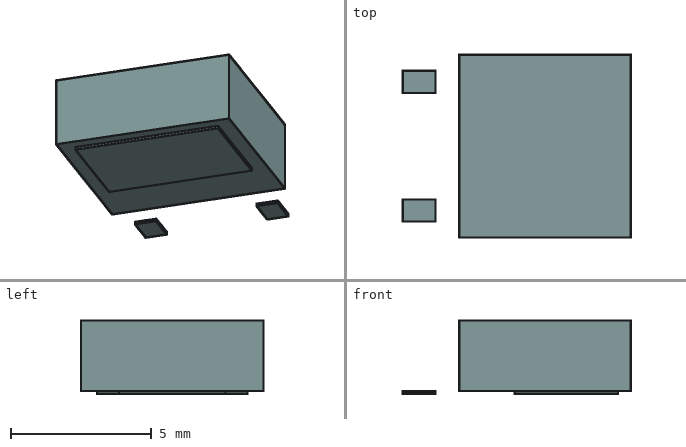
import cadquery as cq

overall_length = 8.1
overall_width = 6.5
overall_height = 2.62

contact_thickness = 0.1
lead_length = 1.17
lead_width = 0.79
lead_pitch = 4.57

housing_length = 6.1
housing_height = overall_height - contact_thickness

tab_length = 3.68
tab_width = lead_pitch + lead_width
tab_end_inset = 0.445


def block(x_start, y_center, z_start, length, width, height):
    """Rectangular block starting at x_start and z_start, centred on y_center."""
    return (
        cq.Workplane("XY")
        .box(length, width, height, centered=(False, True, False))
        .translate((x_start, y_center, z_start))
    )


def make_housing():
    x_start = overall_length - housing_length
    return block(x_start, 0, contact_thickness, housing_length, overall_width, housing_height)


def make_tab():
    x_start = overall_length - tab_end_inset - tab_length
    return block(x_start, 0, 0, tab_length, tab_width, contact_thickness)


def make_lead(y_center):
    return block(0, y_center, 0, lead_length, lead_width, contact_thickness)


housing = make_housing()
tab = make_tab()
leads = [make_lead(side * lead_pitch / 2) for side in (-1, 1)]

result = cq.Compound.makeCompound([
    housing.val(),
    tab.val(),
    *[lead.val() for lead in leads],
])